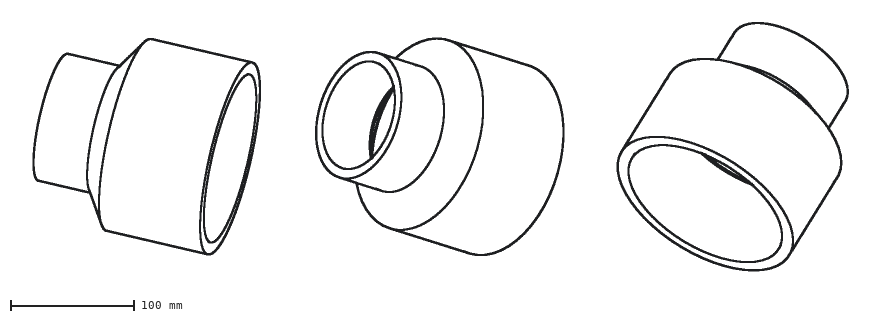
import cadquery as cq

total_length = 150.5
small_outer_diameter = 106.0
large_outer_diameter = 160.0
small_end_length = 45.8
outer_cone_length = 18.7

small_socket_diameter = 90.0
small_stop_diameter = 88.0
large_stop_diameter = 138.0
large_socket_diameter = 140.0
small_socket_depth = 50.5
stop_length = 1.0
inner_cone_length = 21.8

outer_cone_start = small_end_length
outer_cone_end = outer_cone_start + outer_cone_length
inner_cone_start = small_socket_depth + stop_length
inner_cone_end = inner_cone_start + inner_cone_length
large_socket_start = inner_cone_end + stop_length


def revolve_about_x(stations):
    """Revolve (x, diameter) stations, closed along the axis, into a solid."""
    first_x = stations[0][0]
    last_x = stations[-1][0]
    outline = [(first_x, 0)]
    outline += [(x, diameter / 2) for x, diameter in stations]
    outline += [(last_x, 0)]
    return cq.Workplane("XY").polyline(outline).close().revolve(360, (0, 0, 0), (1, 0, 0))


body = revolve_about_x([
    (0, small_outer_diameter),
    (outer_cone_start, small_outer_diameter),
    (outer_cone_end, large_outer_diameter),
    (total_length, large_outer_diameter),
])

passage = revolve_about_x([
    (0, small_socket_diameter),
    (small_socket_depth, small_socket_diameter),
    (small_socket_depth, small_stop_diameter),
    (inner_cone_start, small_stop_diameter),
    (inner_cone_end, large_stop_diameter),
    (large_socket_start, large_stop_diameter),
    (large_socket_start, large_socket_diameter),
    (total_length, large_socket_diameter),
])

result = body.cut(passage)